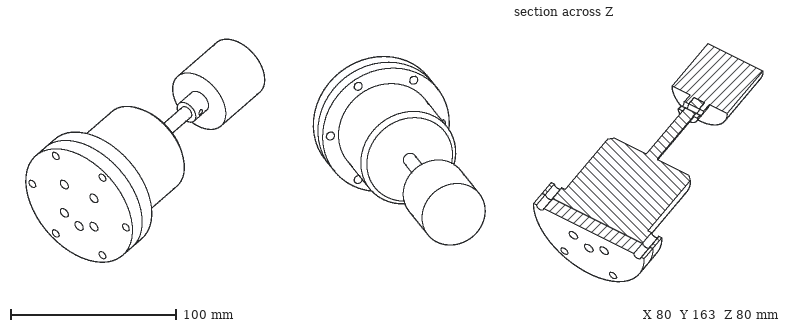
import cadquery as cq
import math

total_length = 163.0

flange_diameter = 80.0
plate_thickness = 10.0
flange_thickness = plate_thickness
bolt_count = 6
bolt_hole_diameter = 5.0
bolt_circle_radius = 35.0
port_diameter = 6.0
port_spacing = 22.2
offset_port_diameter = 6.2
offset_port_drop = 16.0

barrel_diameter = 60.0
barrel_end = 70.0
chamfer_size = 3.0
shaft_diameter = 8.0

knob_diameter = 40.0
knob_length = 40.0
collar_diameter = 14.0
collar_length = 13.0
cross_hole_diameter = 3.5
cross_hole_inset = 5.0

flange_end = plate_thickness + flange_thickness
knob_start = total_length - knob_length
collar_start = knob_start - collar_length
cross_hole_y = collar_start + cross_hole_inset


def cylinder(diameter, start, end, x=0.0, z=0.0):
    """Cylinder parallel to Y, from Y = start to Y = end."""
    axis_start = cq.Vector(x, start, z)
    solid = cq.Solid.makeCylinder(diameter / 2, end - start, axis_start, cq.Vector(0, 1, 0))
    return cq.Workplane(obj=solid)


def bolt_holes():
    """Cutters for the bolt circle, long enough for the plate and the flange."""
    cutters = cq.Workplane()
    for index in range(bolt_count):
        angle = 2 * math.pi * index / bolt_count
        x = bolt_circle_radius * math.cos(angle)
        z = bolt_circle_radius * math.sin(angle)
        cutters = cutters.add(cylinder(bolt_hole_diameter, 0, flange_end, x, z))
    return cutters.combine()


def cross_hole():
    """Cutter for the pin hole along X through the collar and the shaft."""
    start = cq.Vector(-collar_diameter / 2, cross_hole_y, 0)
    solid = cq.Solid.makeCylinder(cross_hole_diameter / 2, collar_diameter, start, cq.Vector(1, 0, 0))
    return cq.Workplane(obj=solid)


def make_plate():
    """Round cover plate with bolt holes, a square of four ports and one offset port."""
    plate = cylinder(flange_diameter, 0, plate_thickness).cut(bolt_holes())
    for x_side in (-1, 1):
        for z_side in (-1, 1):
            x = x_side * port_spacing / 2
            z = z_side * port_spacing / 2
            plate = plate.cut(cylinder(port_diameter, 0, plate_thickness, x, z))
    return plate.cut(cylinder(offset_port_diameter, 0, plate_thickness, z=-offset_port_drop))


def make_housing():
    """Flanged barrel with a chamfered end and a shaft reaching to the knob."""
    barrel = cylinder(barrel_diameter, plate_thickness, barrel_end)
    barrel = barrel.faces(">Y").edges().chamfer(chamfer_size)
    flange = cylinder(flange_diameter, plate_thickness, flange_end).cut(bolt_holes())
    shaft = cylinder(shaft_diameter, plate_thickness, knob_start)
    return flange.union(barrel).union(shaft).cut(cross_hole())


def make_knob():
    """Cylindrical knob whose bored collar takes the end of the shaft."""
    grip = cylinder(knob_diameter, knob_start, total_length)
    collar = cylinder(collar_diameter, collar_start, knob_start)
    shaft_bore = cylinder(shaft_diameter, collar_start, knob_start)
    return grip.union(collar).cut(shaft_bore).cut(cross_hole())


plate = make_plate()
housing = make_housing()
knob = make_knob()

bodies = [body.solids().val() for body in (plate, housing, knob)]
result = cq.Compound.makeCompound(bodies)